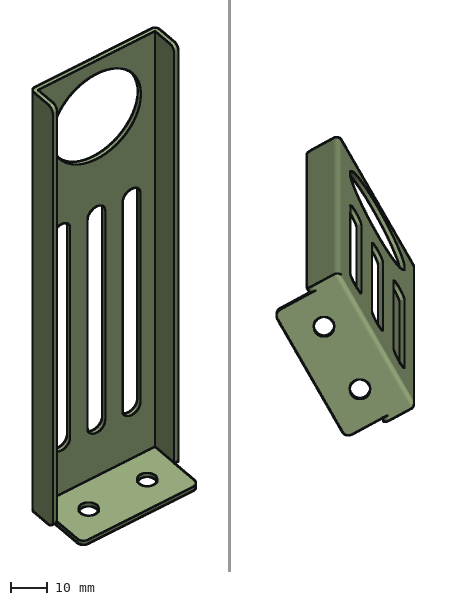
import cadquery as cq

height = 150.0
width = 43.0
flange_depth = 10.0
foot_depth = 21.0

sheet = 1.5
bend_radius = sheet
corner_radius = 2.0
inner_width = width - 2 * sheet

opening_diameter = 30.4
opening_height = height - 20.0

slot_count = 3
slot_pitch = 12.0
slot_width = 6.0
slot_bottom = 17.0
slot_top = 97.8

mount_diameter = 5.5
mount_spacing = 20.0
mount_x = 11.0
mount_count = 2


def make_channel():
    """Back plate with two side flanges, rounded along its side and bottom bends."""
    block = (
        cq.Workplane("XY")
        .box(flange_depth, width, height, centered=(False, True, False))
        .edges("<X and (not >Z)")
        .fillet(bend_radius)
    )
    hollow = (
        cq.Workplane("XY")
        .box(flange_depth, inner_width, height, centered=(False, True, False))
        .translate((sheet, 0, 0))
    )
    return block.cut(hollow).edges("|Y and >X").fillet(corner_radius)


def make_foot():
    """Bottom plate running from the back plate, between the flanges, out past them."""
    return (
        cq.Workplane("XY")
        .box(foot_depth - sheet, inner_width, sheet, centered=(False, True, False))
        .translate((sheet, 0, 0))
        .edges("|Z and >X")
        .fillet(corner_radius)
    )


def make_opening():
    """Cutter for the round opening through the back plate."""
    return (
        cq.Workplane("YZ")
        .center(0, opening_height)
        .circle(opening_diameter / 2)
        .extrude(sheet)
    )


def make_slots():
    """Cutter for the row of upright slots through the back plate."""
    slot_length = slot_top - slot_bottom
    return (
        cq.Workplane("YZ")
        .center(0, (slot_top + slot_bottom) / 2)
        .rarray(slot_pitch, 1, slot_count, 1)
        .slot2D(slot_length, slot_width, 90)
        .extrude(sheet)
    )


def make_mount_holes():
    """Cutter for the two mounting holes through the foot."""
    return (
        cq.Workplane("XY")
        .center(mount_x, 0)
        .rarray(1, mount_spacing, 1, mount_count)
        .circle(mount_diameter / 2)
        .extrude(sheet)
    )


result = (
    make_channel()
    .union(make_foot())
    .cut(make_opening())
    .cut(make_slots())
    .cut(make_mount_holes())
)